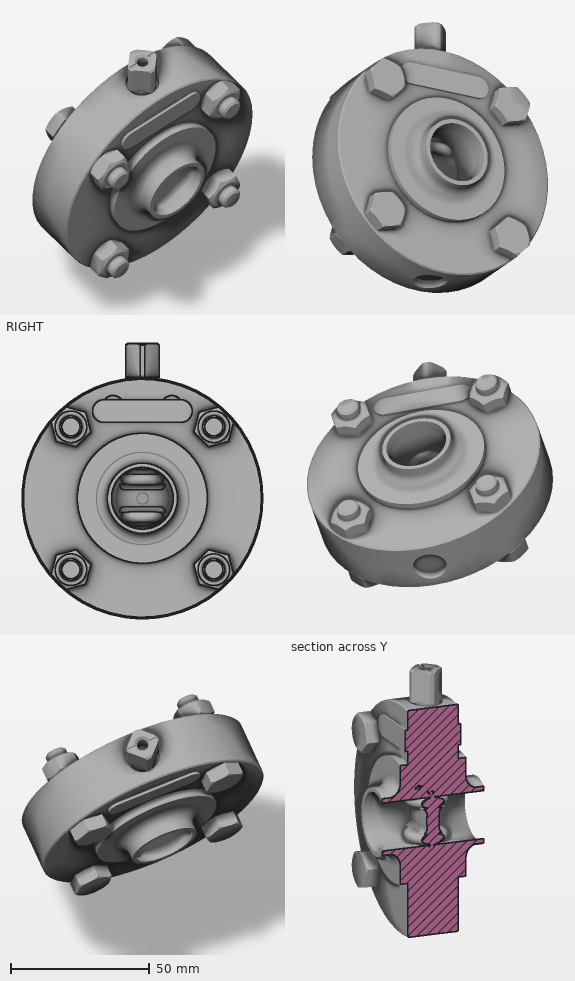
import cadquery as cq
import math


BODY_DIAMETER = 87.0
BODY_WIDTH = 20.0
BODY_EDGE_CHAMFER = 0.5
BODY_RADIUS = BODY_DIAMETER / 2
FACE_X = BODY_WIDTH / 2

TOTAL_LENGTH = 40.0
PIPE_DIAMETER = 25.4
BORE_DIAMETER = 22.3
FLANGE_DIAMETER = 47.0
FLANGE_THICKNESS = 3.0
NECK_FILLET = 4.0
END_X = TOTAL_LENGTH / 2
PIPE_RADIUS = PIPE_DIAMETER / 2
BORE_RADIUS = BORE_DIAMETER / 2
FLANGE_X = FACE_X + FLANGE_THICKNESS

PAD_LENGTH = 36.0
PAD_WIDTH = 8.2
PAD_HEIGHT = 1.0
PAD_CENTER_Z = 31.5
PIN_DIAMETER = 7.2
PIN_HOLE_DIAMETER = 7.32
PIN_GAP_DEPTH = 2.0
PIN_SPACING = 21.2
PIN_CENTER_Z = 33.5

BOLT_COUNT = 4
BOLT_CIRCLE_DIAMETER = 73.0
BOLT_DIAMETER = 8.0
BOLT_TIP_CHAMFER = 0.7
HEX_ACROSS_FLATS = 13.0
WASHER_FACE_DIAMETER = 11.4
WASHER_FACE_THICKNESS = 0.5
HEAD_TOP_X = 15.4
HEAD_FACE_DIAMETER = 13.2
HEAD_CHAMFER_ANGLE = 30.0
NUT_HEIGHT = 6.5
NUT_INNER_FACE_DIAMETER = 12.2
NUT_OUTER_FACE_DIAMETER = 11.4
NUT_CHAMFER_ANGLE = 35.0
HEX_TURN_ANGLE = 15.0
HEX_CONE_DEPTH = 10.0
HEAD_BASE_X = FACE_X + WASHER_FACE_THICKNESS
HEX_CORNER_RADIUS = HEX_ACROSS_FLATS / math.sqrt(3)
BOLT_OFFSET = BOLT_CIRCLE_DIAMETER / 2 * math.sqrt(0.5)

STEM_TOP_Z = 56.0
STEM_SHOULDER_Z = 43.8
STEM_DIAMETER = 12.2
STEM_ACROSS_FLATS = 9.75
STEM_TOP_CHAMFER = 0.7
STEM_TURN_ANGLE = 45.0
STEM_NECK_DIAMETER = 10.0
STEM_BORE_DIAMETER = 12.2
STEM_BORE_DEPTH = 3.0
STEM_HOLE_DIAMETER = 4.13
STEM_HOLE_DEPTH = 8.0
STEM_SINK_DIAMETER = 5.9
DRILL_POINT_ANGLE = 118.0
SLOT_WIDTH = 1.1
SLOT_DEPTH = 0.6

DISC_FLAT_DIAMETER = 4.13
DISC_CENTER_HALF_THICKNESS = 2.6
DISC_FACE_RADIUS = 9.5
DISC_FACE_HALF_THICKNESS = 2.4
DISC_RIM_HALF_THICKNESS = 0.75

HUB_RADIUS = 8.0
HUB_BULGE_START_Z = 4.9
HUB_BULGE_END_Z = 8.7
HUB_BULGE_DEPTH = 1.6
HUB_WAIST_Z = 10.3
HUB_WAIST_RADIUS = 4.0
HUB_END_Z = 11.6
HUB_END_RADIUS = 5.5

ROOT_WIDTH = 16.4
ROOT_FILLET = 2.0
ROOT_START_Z = 3.0
ROOT_END_Z = ROOT_START_Z + ROOT_FILLET
ROOT_CORNER_RADIUS = 1.9


def x_cylinder(diameter, x_start, x_end):
    """Cylinder on the X axis."""
    return cq.Workplane("YZ", origin=(x_start, 0, 0)).circle(diameter / 2).extrude(x_end - x_start)


def z_cylinder(diameter, z_start, z_end):
    """Cylinder on the stem axis."""
    return cq.Workplane("XY", origin=(0, 0, z_start)).circle(diameter / 2).extrude(z_end - z_start)


def make_body():
    """Round body with both rims chamfered."""
    return x_cylinder(BODY_DIAMETER, -FACE_X, FACE_X).edges().chamfer(BODY_EDGE_CHAMFER)


def make_pipe_end():
    """Flange and weld end on the +X side, joined by a concave fillet."""
    fillet_start_x = FLANGE_X + NECK_FILLET
    fillet_end_radius = PIPE_RADIUS + NECK_FILLET
    middle = NECK_FILLET * math.sqrt(0.5)
    profile = (
        cq.Workplane("XY")
        .moveTo(0, 0)
        .lineTo(END_X, 0)
        .lineTo(END_X, PIPE_RADIUS)
        .lineTo(fillet_start_x, PIPE_RADIUS)
        .threePointArc((fillet_start_x - middle, fillet_end_radius - middle), (FLANGE_X, fillet_end_radius))
        .lineTo(FLANGE_X, FLANGE_DIAMETER / 2)
        .lineTo(0, FLANGE_DIAMETER / 2)
        .close()
    )
    return profile.revolve(360, (0, 0, 0), (1, 0, 0))


def make_pads():
    """Both pads, as one slot-shaped bar running through the body."""
    half_depth = FACE_X + PAD_HEIGHT
    plane = cq.Workplane("YZ", origin=(0, 0, PAD_CENTER_Z))
    return plane.slot2D(PAD_LENGTH, PAD_WIDTH).extrude(half_depth, both=True)


def make_pin_gaps():
    """Thin clearance rings round the pins in both body faces; the pads close their lower parts."""
    gaps = cq.Workplane("XY")
    for x_start in (-FACE_X, FACE_X - PIN_GAP_DEPTH):
        for y in (-PIN_SPACING / 2, PIN_SPACING / 2):
            plane = cq.Workplane("YZ", origin=(x_start, y, PIN_CENTER_Z))
            ring = plane.circle(PIN_HOLE_DIAMETER / 2).circle(PIN_DIAMETER / 2)
            gaps = gaps.add(ring.extrude(PIN_GAP_DEPTH))
    return gaps.combine()


def make_hex(x_start, x_end):
    """Hexagon about X with one flat normal at 45 degrees, facing the pipe axis."""
    prism = cq.Workplane("YZ", origin=(x_start, 0, 0)).polygon(6, 2 * HEX_CORNER_RADIUS)
    return prism.extrude(x_end - x_start).rotate((0, 0, 0), (1, 0, 0), HEX_TURN_ANGLE)


def make_corner_cone(face_x, face_diameter, angle, inward):
    """Cone that trims hexagon corners; it widens from its end face in the inward direction (+1 or -1)."""
    face_radius = face_diameter / 2
    wide_radius = face_radius + HEX_CONE_DEPTH / math.tan(math.radians(angle))
    wide_x = face_x + inward * HEX_CONE_DEPTH
    points = [(face_x, 0), (face_x, face_radius), (wide_x, wide_radius), (wide_x, 0)]
    return cq.Workplane("XY").polyline(points).close().revolve(360, (0, 0, 0), (1, 0, 0))


def make_head():
    """Bolt head with its outer corners trimmed."""
    head = make_hex(-HEAD_TOP_X, -HEAD_BASE_X)
    return head.intersect(make_corner_cone(-HEAD_TOP_X, HEAD_FACE_DIAMETER, HEAD_CHAMFER_ANGLE, 1))


def make_nut():
    """Nut with the corners trimmed at both ends."""
    nut_top_x = FACE_X + NUT_HEIGHT
    nut = make_hex(FACE_X, nut_top_x)
    nut = nut.intersect(make_corner_cone(FACE_X, NUT_INNER_FACE_DIAMETER, NUT_CHAMFER_ANGLE, 1))
    return nut.intersect(make_corner_cone(nut_top_x, NUT_OUTER_FACE_DIAMETER, NUT_CHAMFER_ANGLE, -1))


def make_bolt():
    """Bolt with head, washer face, nut and threaded tip, on the X axis."""
    washer_face = x_cylinder(WASHER_FACE_DIAMETER, -HEAD_BASE_X, -FACE_X)
    shank = x_cylinder(BOLT_DIAMETER, -HEAD_BASE_X, END_X).faces(">X").chamfer(BOLT_TIP_CHAMFER)
    return make_head().union(washer_face).union(shank).union(make_nut())


def make_bolts():
    """Four bolts on the corners of a square."""
    bolt = make_bolt().translate((0, BOLT_OFFSET, BOLT_OFFSET))
    bolts = bolt
    for index in range(1, BOLT_COUNT):
        bolts = bolts.union(bolt.rotate((0, 0, 0), (1, 0, 0), index * 360 / BOLT_COUNT))
    return bolts


def make_stem_bores():
    """Round recesses at the top and bottom of the body."""
    floor_z = BODY_RADIUS - STEM_BORE_DEPTH
    top = z_cylinder(STEM_BORE_DIAMETER, floor_z, BODY_RADIUS)
    bottom = z_cylinder(STEM_BORE_DIAMETER, -BODY_RADIUS, -floor_z)
    return top.union(bottom)


def make_stem():
    """Square stem with rounded corners that point along X and Y, on a round neck."""
    height = STEM_TOP_Z - STEM_SHOULDER_Z
    square = cq.Workplane("XY", origin=(0, 0, STEM_SHOULDER_Z)).rect(STEM_ACROSS_FLATS, STEM_ACROSS_FLATS)
    square = square.extrude(height).rotate((0, 0, 0), (0, 0, 1), STEM_TURN_ANGLE)
    blank = z_cylinder(STEM_DIAMETER, STEM_SHOULDER_Z, STEM_TOP_Z).faces(">Z").chamfer(STEM_TOP_CHAMFER)
    neck = z_cylinder(STEM_NECK_DIAMETER, BODY_RADIUS - STEM_BORE_DEPTH, STEM_SHOULDER_Z)
    slot = cq.Workplane("XY", origin=(0, 0, STEM_TOP_Z - SLOT_DEPTH))
    slot = slot.rect(SLOT_WIDTH, STEM_DIAMETER).extrude(SLOT_DEPTH)
    return square.intersect(blank).union(neck).cut(make_stem_hole()).cut(slot)


def make_stem_hole():
    """Countersunk blind hole with a drill point in the top of the stem."""
    radius = STEM_HOLE_DIAMETER / 2
    sink_radius = STEM_SINK_DIAMETER / 2
    floor_z = STEM_TOP_Z - STEM_HOLE_DEPTH
    point_z = floor_z - radius / math.tan(math.radians(DRILL_POINT_ANGLE / 2))
    points = [
        (0, STEM_TOP_Z),
        (sink_radius, STEM_TOP_Z),
        (radius, STEM_TOP_Z - (sink_radius - radius)),
        (radius, floor_z),
        (0, point_z),
    ]
    return cq.Workplane("XZ").polyline(points).close().revolve(360, (0, 0, 0), (0, 1, 0))


def make_disc():
    """Closed disc: small flat centre, slightly conical faces and a rounded rim."""
    rim_drop = DISC_FACE_HALF_THICKNESS - DISC_RIM_HALF_THICKNESS
    rim_width = BORE_RADIUS - DISC_FACE_RADIUS
    middle_x = DISC_RIM_HALF_THICKNESS + rim_drop * math.sqrt(0.5)
    middle_radius = DISC_FACE_RADIUS + rim_width * math.sqrt(0.5)
    half = (
        cq.Workplane("XY")
        .moveTo(0, 0)
        .lineTo(DISC_CENTER_HALF_THICKNESS, 0)
        .lineTo(DISC_CENTER_HALF_THICKNESS, DISC_FLAT_DIAMETER / 2)
        .lineTo(DISC_FACE_HALF_THICKNESS, DISC_FACE_RADIUS)
        .threePointArc((middle_x, middle_radius), (DISC_RIM_HALF_THICKNESS, BORE_RADIUS))
        .lineTo(0, BORE_RADIUS)
        .close()
        .revolve(360, (0, 0, 0), (1, 0, 0))
    )
    return half.union(half.mirror("YZ"))


def make_hub():
    """Upper hub: bulging rim, then a cone down to a waist that flares into the body."""
    bulge_edge_radius = HUB_RADIUS - HUB_BULGE_DEPTH
    bulge_middle_z = (HUB_BULGE_START_Z + HUB_BULGE_END_Z) / 2
    profile = (
        cq.Workplane("XZ")
        .moveTo(0, HUB_BULGE_START_Z)
        .lineTo(bulge_edge_radius, HUB_BULGE_START_Z)
        .threePointArc((HUB_RADIUS, bulge_middle_z), (bulge_edge_radius, HUB_BULGE_END_Z))
        .lineTo(HUB_WAIST_RADIUS, HUB_WAIST_Z)
        .lineTo(HUB_END_RADIUS, HUB_END_Z)
        .lineTo(0, HUB_END_Z)
        .close()
    )
    return profile.revolve(360, (0, 0, 0), (0, 1, 0))


def make_hub_root():
    """Concave fillets under the upper hub, on both disc faces, with rounded lower corners."""
    face_x = DISC_CENTER_HALF_THICKNESS
    outer_x = face_x + ROOT_FILLET
    middle = ROOT_FILLET * math.sqrt(0.5)
    section = (
        cq.Workplane("XZ")
        .moveTo(0, ROOT_START_Z)
        .lineTo(face_x, ROOT_START_Z)
        .threePointArc((outer_x - middle, ROOT_START_Z + middle), (outer_x, ROOT_END_Z))
        .lineTo(0, ROOT_END_Z)
        .close()
        .extrude(ROOT_WIDTH / 2, both=True)
    )
    section = section.union(section.mirror("YZ"))
    outline = cq.Workplane("YZ", origin=(0, 0, ROOT_START_Z + ROOT_FILLET / 2))
    outline = outline.rect(ROOT_WIDTH, ROOT_FILLET).extrude(outer_x, both=True)
    return section.intersect(outline.edges("|X and <Z").fillet(ROOT_CORNER_RADIUS))


body = make_body()
body = body.cut(make_pin_gaps())
body = body.union(make_pads())
pipe_end = make_pipe_end()
body = body.union(pipe_end).union(pipe_end.mirror("YZ"))
body = body.cut(make_stem_bores())
body = body.cut(x_cylinder(BORE_DIAMETER, -END_X, END_X))
body = body.union(make_bolts()).union(make_stem())

hub = make_hub().union(make_hub_root())
result = body.union(make_disc()).union(hub).union(hub.mirror("XY"))